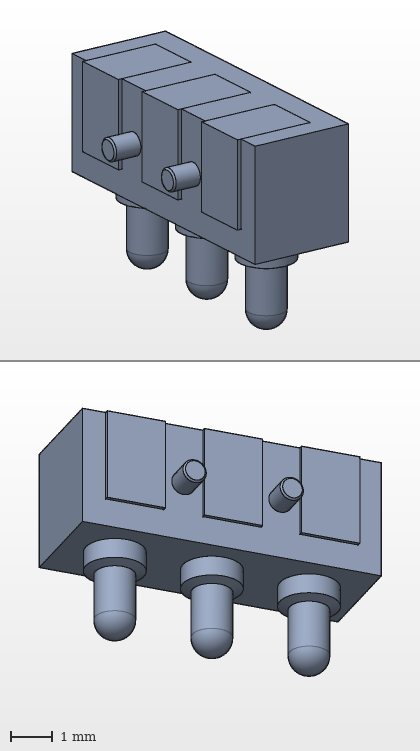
import cadquery as cq

HOUSING_LENGTH = 7.7
HOUSING_DEPTH = 2.7
HOUSING_HEIGHT = 3.0

CONTACT_COUNT = 3
PITCH = 2.5
COLLAR_DIAMETER = 1.5
COLLAR_LENGTH = 0.5
COLLAR_TAPER_HEIGHT = 0.1
PLUNGER_DIAMETER = 1.0
PLUNGER_REACH = 2.295
PAD_HEIGHT = 2.295
PAD_PROTRUSION = 0.1
PAD_BACK_GAP = 0.7

PEG_DIAMETER = 0.6
PEG_LENGTH = 0.75
PEG_CHAMFER = 0.05

collar_radius = COLLAR_DIAMETER / 2
plunger_radius = PLUNGER_DIAMETER / 2
pad_bottom = HOUSING_HEIGHT - PAD_HEIGHT
pad_depth = HOUSING_DEPTH + PAD_PROTRUSION - PAD_BACK_GAP
contact_axis_y = -(PAD_BACK_GAP + collar_radius)
contact_positions = [(i - (CONTACT_COUNT - 1) / 2) * PITCH for i in range(CONTACT_COUNT)]
peg_positions = [x + PITCH / 2 for x in contact_positions[:-1]]


def make_contact(x):
    """Rectangular pad with a round collar and a domed plunger below it."""
    pad = cq.Workplane("XY").box(
        COLLAR_DIAMETER, pad_depth, PAD_HEIGHT, centered=(True, False, False)
    ).translate((0, -PAD_BACK_GAP - pad_depth, pad_bottom))

    taper_bottom = -COLLAR_LENGTH - COLLAR_TAPER_HEIGHT
    dome_centre = plunger_radius - PLUNGER_REACH
    dome_mid = plunger_radius * 0.5 ** 0.5
    stem = (
        cq.Workplane("XZ")
        .moveTo(0, pad_bottom)
        .lineTo(collar_radius, pad_bottom)
        .lineTo(collar_radius, -COLLAR_LENGTH)
        .lineTo(plunger_radius, taper_bottom)
        .lineTo(plunger_radius, dome_centre)
        .threePointArc((dome_mid, dome_centre - dome_mid), (0, -PLUNGER_REACH))
        .close()
        .revolve(360, (0, 0), (0, 1))
        .translate((0, contact_axis_y, 0))
    )
    return pad.union(stem).translate((x, 0, 0))


def make_peg(x):
    """Round peg with a chamfered end, standing on the housing front face."""
    return (
        cq.Workplane("XZ", origin=(x, -HOUSING_DEPTH, HOUSING_HEIGHT / 2))
        .circle(PEG_DIAMETER / 2)
        .extrude(PEG_LENGTH)
        .faces("<Y")
        .chamfer(PEG_CHAMFER)
    )


def make_housing(contacts):
    """Block with pegs on its front and a matching recess for each contact."""
    housing = cq.Workplane("XY").box(
        HOUSING_LENGTH, HOUSING_DEPTH, HOUSING_HEIGHT, centered=(True, False, False)
    ).translate((0, -HOUSING_DEPTH, 0))
    for x in peg_positions:
        housing = housing.union(make_peg(x))
    for contact in contacts:
        housing = housing.cut(contact)
    return housing


contacts = [make_contact(x) for x in contact_positions]
housing = make_housing(contacts)

result = cq.Compound.makeCompound([housing.val(), *[contact.val() for contact in contacts]])